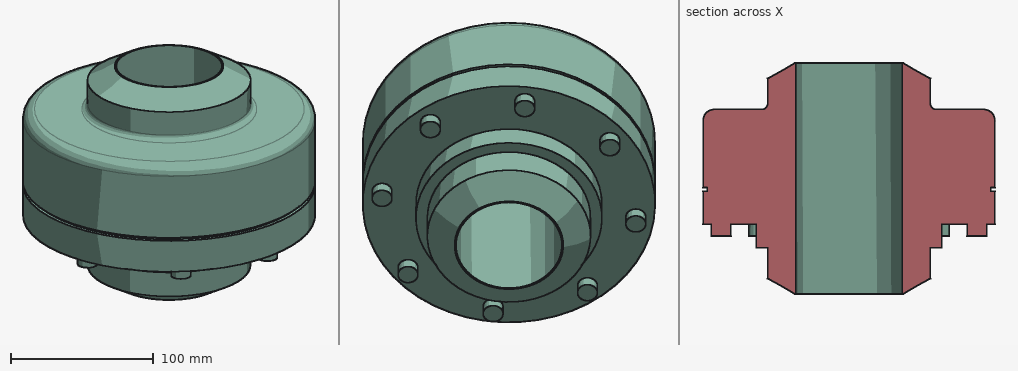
import cadquery as cq

total_height = 162.0
body_radius = 205 / 2
bore_radius = 74.2 / 2

pipe_radius = 114.4 / 2
bevel_height = 10.9
bevel_land = 1.0
bevel_tip_radius = bore_radius + bevel_land

collar_radius = 130.4 / 2
collar_bottom = 32.4
flange_bottom = 48.8
groove_bottom = 72.2
groove_top = 74.6
groove_radius = 199.0 / 2
body_top = 129.5
body_rounding = 8.0
neck_fillet = 4.0

bolt_count = 8
bolt_radius = 14.0 / 2
bolt_circle_radius = 89.5
bolt_length = 8.2


def disc(radius, bottom, top):
    """Solid cylinder on the Z axis between two heights."""
    return cq.Workplane("XY").workplane(offset=bottom).circle(radius).extrude(top - bottom)


def make_bevelled_pipe():
    """Full-height pipe core with a conical bevel at each end."""
    profile = [
        (0, 0),
        (bevel_tip_radius, 0),
        (pipe_radius, bevel_height),
        (pipe_radius, total_height - bevel_height),
        (bevel_tip_radius, total_height),
        (0, total_height),
    ]
    return cq.Workplane("XZ").polyline(profile).close().revolve(360, (0, 0, 0), (0, 1, 0))


def make_body():
    """Flange and rounded housing, separated by a shallow groove."""
    flange = disc(body_radius, flange_bottom, groove_bottom)
    groove_core = disc(groove_radius, groove_bottom, groove_top)
    housing = disc(body_radius, groove_top, body_top).faces(">Z").edges().fillet(body_rounding)
    collar = disc(collar_radius, collar_bottom, flange_bottom)
    return flange.union(groove_core).union(housing).union(collar)


def make_neck_fillet():
    """Concave ring blending the upper pipe into the top of the housing."""
    outer_radius = pipe_radius + neck_fillet
    return (
        cq.Workplane("XZ")
        .moveTo(0, body_top)
        .lineTo(outer_radius, body_top)
        .radiusArc((pipe_radius, body_top + neck_fillet), neck_fillet)
        .lineTo(0, body_top + neck_fillet)
        .close()
        .revolve(360, (0, 0, 0), (0, 1, 0))
    )


def make_bolts():
    """Ring of round bolt ends below the flange."""
    return (
        cq.Workplane("XY")
        .workplane(offset=flange_bottom)
        .polarArray(bolt_circle_radius, 0, 360, bolt_count)
        .circle(bolt_radius)
        .extrude(-bolt_length)
    )


bore = disc(bore_radius, 0, total_height)

result = (
    make_bevelled_pipe()
    .union(make_body())
    .union(make_neck_fillet())
    .union(make_bolts())
    .cut(bore)
)